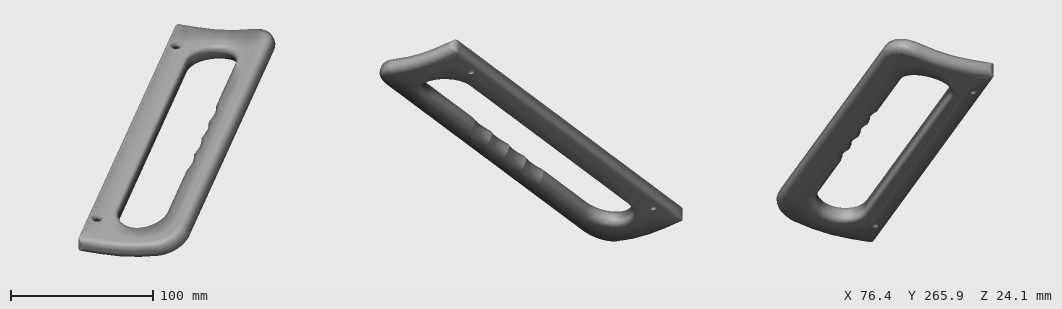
import cadquery as cq
import math

length = 265.9
thickness = 12.0
flat_width = 16.2
bend_radius = 125.0
bend_angle = 26.88
corner_radius = 20.0
rim_fillet = 5.0
mounting_fillet = 2.0
mounting_corner_radius = 5.0

opening_left = 19.0
grip_x = 54.7
grip_lean = 18.0
opening_arc_center_y = 90.4
opening_left_fillet = 2.5
opening_grip_fillet = 4.8

scallop_count = 4
scallop_pitch = 19.8
scallop_radius = 30.0

strip_center_x = 7.1
strip_width = 8.8
recess_length = 246.2
rib_length = length - 2 * rim_fillet
strip_corner_radius = 1.0
strip_relief = 0.2

hole_spacing = 210.0
hole_diameter = 4.4
countersink_diameter = 8.0
countersink_angle = 90.0

mid_radius = bend_radius + thickness / 2
bend_axis_z = thickness + bend_radius
clear_below = -thickness
clear_above = 3 * thickness


def bend_point(radius, angle):
    """Point (x, z) on an arc about the bend axis, angle in degrees from the flat."""
    turn = math.radians(angle)
    return (flat_width + radius * math.sin(turn), bend_axis_z - radius * math.cos(turn))


def make_plate():
    """Flat strip running into the bend, with a square free edge."""
    outer_radius = bend_radius + thickness
    return (
        cq.Workplane("XZ")
        .lineTo(flat_width, 0)
        .threePointArc(bend_point(outer_radius, bend_angle / 2), bend_point(outer_radius, bend_angle))
        .lineTo(*bend_point(bend_radius, bend_angle))
        .threePointArc(bend_point(bend_radius, bend_angle / 2), (flat_width, thickness))
        .lineTo(0, thickness)
        .close()
        .extrude(length / 2, both=True)
    )


def corner_waste(plane, radius, side):
    """Cutter that leaves a rounded corner at local (0, side * length / 2), material on local -X."""
    outer = side * length / 2
    inner = outer - side * radius
    beyond = outer + side * radius
    inset = radius * (1 - math.sqrt(0.5))
    return (
        cq.Workplane(plane)
        .moveTo(-radius, outer)
        .threePointArc((-inset, outer - side * inset), (0, inner))
        .lineTo(radius, inner)
        .lineTo(radius, beyond)
        .lineTo(-radius, beyond)
        .close()
        .extrude(2 * thickness, both=True)
    )


def round_corners(plate, plane, radius):
    """Round both corners of the long edge that passes through the plane's origin."""
    for side in (-1, 1):
        plate = plate.cut(corner_waste(plane, radius, side))
    return plate


def free_edge_plane():
    """Plane along the bent plate at its free edge, local X pointing out of the part."""
    edge_x, edge_z = bend_point(mid_radius, bend_angle)
    turn = math.radians(bend_angle)
    return cq.Plane(
        origin=(edge_x, 0, edge_z),
        xDir=(math.cos(turn), 0, math.sin(turn)),
        normal=(-math.sin(turn), 0, math.cos(turn)),
    )


def mounting_edge_plane():
    """Horizontal plane at the mounting edge, local X pointing out of the part."""
    return cq.Plane(origin=(0, 0, 0), xDir=(-1, 0, 0), normal=(0, 0, 1))


def make_handle_blank():
    """Plate with all of its outer edges rounded."""
    blank = round_corners(make_plate(), free_edge_plane(), corner_radius)
    blank = blank.edges("|Y").edges(">>X[-1] or >>X[-2]").fillet(rim_fillet)
    blank = blank.faces("<X").edges("|Y").fillet(mounting_fillet)
    return round_corners(blank, mounting_edge_plane(), mounting_corner_radius)


def grip_height():
    """Height of the middle of the plate at the grip wall."""
    return bend_axis_z - math.sqrt(mid_radius**2 - (grip_x - flat_width) ** 2)


def opening_section(height):
    """Slot outline of the hand opening at one height."""
    right = grip_x - (height - grip_height()) * math.tan(math.radians(grip_lean))
    radius = (right - opening_left) / 2
    middle = opening_left + radius
    return (
        cq.Workplane("XY", origin=(0, 0, height))
        .moveTo(opening_left, -opening_arc_center_y)
        .threePointArc((middle, -opening_arc_center_y - radius), (right, -opening_arc_center_y))
        .lineTo(right, opening_arc_center_y)
        .threePointArc((middle, opening_arc_center_y + radius), (opening_left, opening_arc_center_y))
        .close()
        .wire()
        .val()
    )


def make_scallops():
    """Slices of cylinders standing along the grip wall, meeting in cusps on it."""
    lean = math.radians(grip_lean)
    plane = cq.Plane(
        origin=(grip_x, 0, grip_height()),
        xDir=(math.cos(lean), 0, math.sin(lean)),
        normal=(-math.sin(lean), 0, math.cos(lean)),
    )
    sagitta = scallop_radius - math.sqrt(scallop_radius**2 - (scallop_pitch / 2) ** 2)
    back_x = (opening_left - grip_x) / 2
    start_y = -scallop_count * scallop_pitch / 2
    outline = cq.Workplane(plane).moveTo(back_x, start_y).lineTo(0, start_y)
    for index in range(scallop_count):
        low = start_y + index * scallop_pitch
        outline = outline.threePointArc((sagitta, low + scallop_pitch / 2), (0, low + scallop_pitch))
    return outline.lineTo(back_x, -start_y).close().extrude(thickness, both=True)


def cut_opening(handle):
    """Cut the hand opening with its finger scallops."""
    slot = cq.Solid.makeLoft([opening_section(clear_below), opening_section(clear_above)], True)
    return handle.cut(cq.Workplane(slot)).cut(make_scallops())


def opening_fillet_at(point):
    """Fillet radius of the opening, small on the mounting side and full on the grip side."""
    if point.x < (opening_left + grip_x) / 2:
        return opening_left_fillet
    return opening_grip_fillet


def round_opening(handle):
    """Round both rims of the opening; the radius grows around the end arcs."""
    region = cq.selectors.BoxSelector(
        (flat_width + 1, -length / 2 + corner_radius, clear_below),
        (grip_x + rim_fillet, length / 2 - corner_radius, clear_above),
    )
    tallest_rim_edge = 0.7 * thickness
    builder = cq.occ_impl.shapes.BRepFilletAPI_MakeFillet(handle.val().wrapped)
    for edge in handle.edges(region).vals():
        if edge.BoundingBox().zlen > tallest_rim_edge:
            continue
        builder.Add(edge.wrapped)
        contour = builder.Contour(edge.wrapped)
        for vertex in edge.Vertices():
            builder.SetRadius(opening_fillet_at(vertex.Center()), contour, vertex.wrapped)
    return cq.Workplane(cq.Shape.cast(builder.Shape()))


def strip_block(base_z, strip_length):
    """Thin rounded strip standing on the given height."""
    return (
        cq.Workplane("XY", origin=(strip_center_x, 0, base_z))
        .rect(strip_width, strip_length)
        .extrude(strip_relief)
        .edges("|Z")
        .fillet(strip_corner_radius)
    )


def add_mounting_details(handle):
    """Recess, underside rib and countersunk holes of the mounting strip."""
    recess_floor = thickness - strip_relief
    handle = handle.cut(strip_block(recess_floor, recess_length))
    handle = handle.union(strip_block(-strip_relief, rib_length))
    return (
        cq.Workplane(handle.val())
        .copyWorkplane(cq.Workplane("XY", origin=(strip_center_x, 0, recess_floor)))
        .pushPoints([(0, -hole_spacing / 2), (0, hole_spacing / 2)])
        .cskHole(hole_diameter, countersink_diameter, countersink_angle)
    )


blank = make_handle_blank()
opened = round_opening(cut_opening(blank))
result = add_mounting_details(opened)